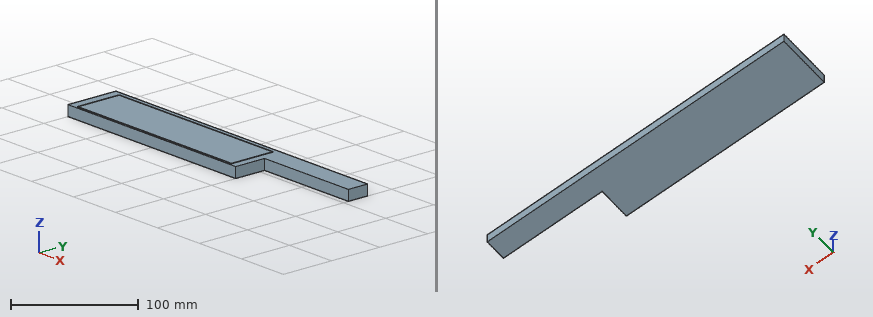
import cadquery as cq

length = 300.0
width = 50.0
height = 10.5

blade_length = 200.0
handle_width = 20.0

panel_height = 0.5
panel_end_margin = 9.5
panel_handle_margin = 7.2
panel_front_margin = 1.8
panel_back_margin = 5.0

plate_thickness = height - panel_height
panel_length = blade_length - panel_end_margin - panel_handle_margin
panel_width = width - panel_front_margin - panel_back_margin


def block(x, y, z, size_x, size_y, size_z):
    """Box with its lowest corner at (x, y, z)."""
    return cq.Workplane("XY").box(size_x, size_y, size_z, centered=False).translate((x, y, z))


blade = block(0, 0, 0, blade_length, width, plate_thickness)
handle = block(0, width - handle_width, 0, length, handle_width, plate_thickness)
panel = block(
    panel_end_margin,
    panel_front_margin,
    plate_thickness,
    panel_length,
    panel_width,
    panel_height,
)

result = blade.union(handle).union(panel)